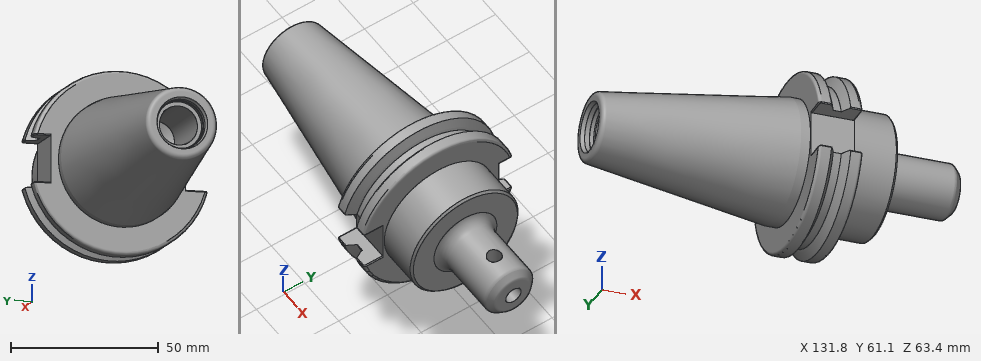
import cadquery as cq
import math

total_length = 131.8

gauge_diameter = 44.4
gauge_position = 68.1
taper_per_length = 7 / 24
small_end_rounding = 1.7

flange_diameter = 63.4
flange_start = 71.4
flange_end = 87.2
flange_rounding = 1.0
groove_center = 79.3
groove_floor_width = 2.9
groove_corner_width = 0.4
groove_flank_angle = 30.0
groove_mouth_width = 7.0
groove_diameter = 56.1

slot_width = 16.1
slot_edge_chamfer = 0.4
slot_floor_plus_y = 24.9
slot_floor_minus_y = 22.7

hub_diameter = 44.4
hub_end = 103.3
hub_chamfer = 0.8

spigot_diameter = 19.8
neck_radius = 5.0
neck_length = 4.6
tip_chamfer = 2.6
tip_edge_rounding = 1.5

mouth_diameter = 17.9
mouth_depth = 1.5
counterbore_diameter = 16.9
counterbore_depth = 3.2
thread_diameter = 16.3
thread_depth = 4.6
drawbar_bore_diameter = 13.5
drawbar_bore_depth = 31.6
drill_point_angle = 118.0
coolant_diameter = 6.3

cross_hole_diameter = 5.4
cross_hole_position = 120.4


def revolve_about_x(profile):
    return profile.close().revolve(360, (0, 0, 0), (1, 0, 0))


def taper_shank():
    small_radius = gauge_diameter / 2 - gauge_position * taper_per_length / 2
    shank = revolve_about_x(
        cq.Workplane("XY")
        .lineTo(0, small_radius)
        .lineTo(gauge_position, gauge_diameter / 2)
        .lineTo(flange_start, gauge_diameter / 2)
        .lineTo(flange_start, 0)
    )
    return shank.faces("<X").edges().fillet(small_end_rounding)


def flange():
    radius = flange_diameter / 2
    floor_radius = groove_diameter / 2
    half_mouth = groove_mouth_width / 2
    half_floor = groove_floor_width / 2
    half_corner = half_floor + groove_corner_width
    flank_depth = (half_mouth - half_corner) / math.tan(math.radians(groove_flank_angle))
    body = revolve_about_x(
        cq.Workplane("XY")
        .moveTo(flange_start, 0)
        .lineTo(flange_start, radius)
        .lineTo(groove_center - half_mouth, radius)
        .lineTo(groove_center - half_corner, radius - flank_depth)
        .lineTo(groove_center - half_floor, floor_radius)
        .lineTo(groove_center + half_floor, floor_radius)
        .lineTo(groove_center + half_corner, radius - flank_depth)
        .lineTo(groove_center + half_mouth, radius)
        .lineTo(flange_end, radius)
        .lineTo(flange_end, 0)
    )
    return body.faces("<X or >X").edges().fillet(flange_rounding)


def drive_slot(side, floor):
    length = flange_end - flange_start
    depth = flange_diameter / 2
    return cq.Workplane("XY").box(length, depth, slot_width).translate(
        (flange_start + length / 2, side * (floor + depth / 2), 0)
    )


def is_slot_rim(edge):
    center = edge.Center()
    on_wall = abs(abs(center.z) - slot_width / 2) < 0.0001 and abs(edge.BoundingBox().zlen) < 0.0001
    in_groove = abs(center.x - groove_center) < groove_mouth_width / 2
    on_floor = min(abs(center.y - slot_floor_plus_y), abs(center.y + slot_floor_minus_y)) < 0.0001
    return on_wall and not in_groove and not on_floor


def slotted_flange():
    slotted = (
        flange()
        .cut(drive_slot(1, slot_floor_plus_y))
        .cut(drive_slot(-1, slot_floor_minus_y))
    )
    return slotted.edges().filter(is_slot_rim).chamfer(slot_edge_chamfer)


def hub_and_spigot():
    hub_radius = hub_diameter / 2
    spigot_radius = spigot_diameter / 2
    neck_end = hub_end + neck_length
    arc_center_radius = spigot_radius + neck_radius
    full_angle = math.asin(neck_length / neck_radius)

    def neck_point(angle):
        return (
            neck_end - neck_radius * math.sin(angle),
            arc_center_radius - neck_radius * math.cos(angle),
        )

    body = revolve_about_x(
        cq.Workplane("XY")
        .moveTo(flange_end, 0)
        .lineTo(flange_end, hub_radius)
        .lineTo(hub_end - hub_chamfer, hub_radius)
        .lineTo(hub_end, hub_radius - hub_chamfer)
        .lineTo(*neck_point(full_angle))
        .threePointArc(neck_point(full_angle / 2), neck_point(0))
        .lineTo(total_length - tip_chamfer, spigot_radius)
        .lineTo(total_length, spigot_radius - tip_chamfer)
        .lineTo(total_length, 0)
    )
    tip_edges = body.edges(
        cq.selectors.BoxSelector(
            (total_length - tip_chamfer - tip_edge_rounding, -spigot_diameter, -spigot_diameter),
            (total_length + tip_edge_rounding, spigot_diameter, spigot_diameter),
        )
    ).edges("%CIRCLE")
    return tip_edges.fillet(tip_edge_rounding)


def axial_bore():
    bore_radius = drawbar_bore_diameter / 2
    coolant_radius = coolant_diameter / 2
    point_length = (bore_radius - coolant_radius) / math.tan(math.radians(drill_point_angle / 2))
    return revolve_about_x(
        cq.Workplane("XY")
        .lineTo(0, mouth_diameter / 2)
        .lineTo(mouth_depth, counterbore_diameter / 2)
        .lineTo(counterbore_depth, counterbore_diameter / 2)
        .lineTo(counterbore_depth, thread_diameter / 2)
        .lineTo(thread_depth, thread_diameter / 2)
        .lineTo(thread_depth, bore_radius)
        .lineTo(drawbar_bore_depth, bore_radius)
        .lineTo(drawbar_bore_depth + point_length, coolant_radius)
        .lineTo(total_length, coolant_radius)
        .lineTo(total_length, 0)
    )


def cross_hole():
    return (
        cq.Workplane("XY")
        .center(cross_hole_position, 0)
        .circle(cross_hole_diameter / 2)
        .extrude(spigot_diameter)
    )


result = (
    taper_shank()
    .union(slotted_flange())
    .union(hub_and_spigot())
    .cut(axial_bore())
    .cut(cross_hole())
)